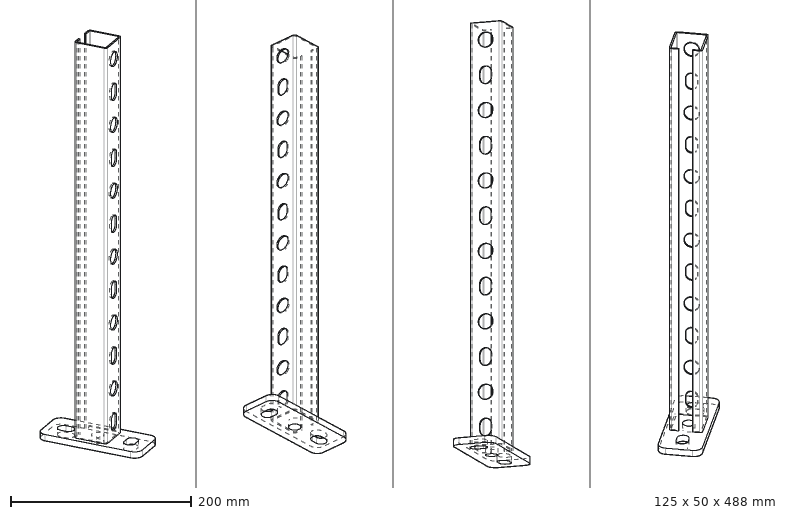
import cadquery as cq

plate_length = 125.0
plate_width = 50.0
plate_thickness = 8.0
plate_corner_radius = 10.0

total_height = 488.0
channel_depth = 40.0
channel_width = 37.5
wall = 2.0
outer_bend_radius = 3.0
inner_bend_radius = outer_bend_radius - wall
mouth_width = 15.5
channel_height = total_height - plate_thickness

slot_width = 13.5
slot_length = 20.0
round_hole_diameter = 17.0
along_slot_x = -39.0
across_slot_x = 41.0
hole_count = 12
hole_pitch = channel_height / hole_count


def make_plate():
    """Rounded plate with a centre hole, a lengthwise slot and a crosswise slot."""
    plate = cq.Workplane("XY").rect(plate_length, plate_width).extrude(plate_thickness)
    plate = plate.edges("|Z").fillet(plate_corner_radius)
    plate = plate.faces("<Z").workplane().hole(slot_width)
    for x, angle in ((along_slot_x, 0), (across_slot_x, 90)):
        slot = cq.Workplane("XY").center(x, 0).slot2D(slot_length, slot_width, angle)
        plate = plate.cut(slot.extrude(plate_thickness))
    return plate


def make_channel():
    """Bent sheet channel with one inward lip on either side of its mouth."""
    base = cq.Workplane("XY").workplane(offset=plate_thickness)
    outside = base.rect(channel_depth, channel_width).extrude(channel_height)
    outside = outside.edges("|Z").fillet(outer_bend_radius)
    inside = base.rect(channel_depth - 2 * wall, channel_width - 2 * wall).extrude(channel_height)
    inside = inside.edges("|Z").fillet(inner_bend_radius)
    mouth = base.center(-channel_depth / 2, 0).rect(channel_depth, mouth_width).extrude(channel_height)
    return outside.cut(inside).cut(mouth)


def make_back_openings():
    """Cutters through the back wall: slots and round holes alternate upwards."""
    back = cq.Workplane("YZ").workplane(offset=channel_depth / 2 - wall)
    cutters = cq.Workplane("XY")
    for index in range(hole_count):
        z = plate_thickness + (index + 0.5) * hole_pitch
        sketch = back.center(0, z)
        if index % 2 == 0:
            outline = sketch.slot2D(slot_length, slot_width, 90)
        else:
            outline = sketch.circle(round_hole_diameter / 2)
        cutters = cutters.add(outline.extrude(wall))
    return cutters.combine()


result = make_plate().union(make_channel().cut(make_back_openings()))